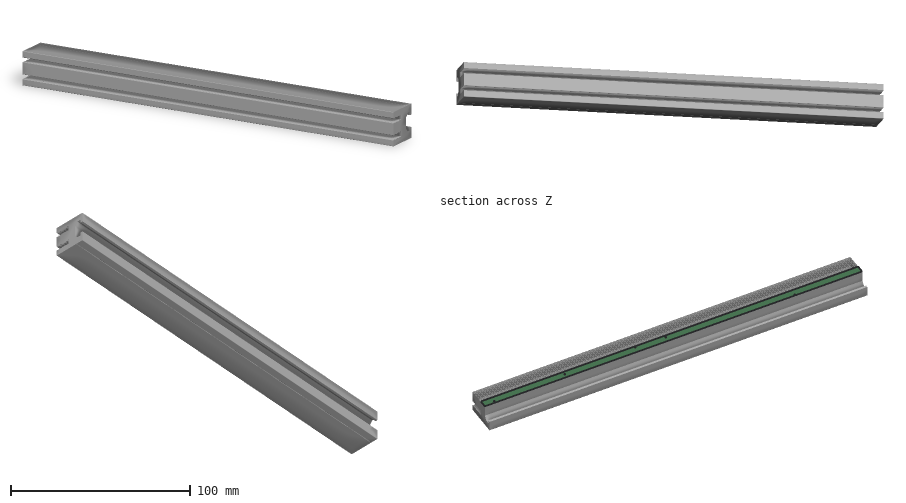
import cadquery as cq

length = 240.0
side = 20.0
half = side / 2
corner_radius = 0.26

lip_thickness = 1.5
slot_opening = 7.2
slot_width = 11.3
slot_depth = 5.8
slot_corner_depth = 1.8
slot_floor_width = 6.7

tongue_width = 7.2
groove_width = 3.0
groove_depth = 9.0
tooth_height = 0.34
tooth_pitch = 2 * tooth_height
tooth_count = 13

mark_width = 0.35
mark_depth = mark_width / 2
mark_distance = 4.8


def extrude_along_bar(outline):
    """Close a list of (y, z) points and extrude it over the bar's length."""
    return cq.Workplane("YZ").polyline(outline).close().extrude(length / 2, both=True)


def t_slot():
    lip_y = half - lip_thickness
    floor_y = half - slot_depth
    upper = [
        (half, slot_opening / 2),
        (lip_y, slot_opening / 2),
        (lip_y, slot_width / 2),
        (floor_y + slot_corner_depth, slot_width / 2),
        (floor_y, slot_floor_width / 2),
    ]
    lower = [(y, -z) for y, z in reversed(upper)]
    return extrude_along_bar(upper + lower)


def toothed_groove():
    """The groove above the tongue."""
    tongue_z = tongue_width / 2
    wall_z = tongue_z + groove_width
    floor_y = groove_depth - half

    flange_side = [(-half, wall_z)]
    for i in range(tooth_count):
        y = -half + i * tooth_pitch
        flange_side.append((y + tooth_pitch / 2, wall_z - tooth_height))
        flange_side.append((y + tooth_pitch, wall_z))
    flange_side.append((floor_y, wall_z))

    tongue_side = [(-half, tongue_z)]
    for i in range(tooth_count):
        y = -half + tooth_pitch / 2 + i * tooth_pitch
        tongue_side.append((y, tongue_z))
        tongue_side.append((y + tooth_pitch / 2, tongue_z - tooth_height))
    tongue_side.append((floor_y, tongue_z - tooth_height))
    return extrude_along_bar(flange_side + tongue_side[::-1])


def marking_line():
    mark_y = half - mark_distance
    return extrude_along_bar(
        [
            (mark_y - mark_width / 2, half),
            (mark_y, half - mark_depth),
            (mark_y + mark_width / 2, half),
        ]
    )


def edges_near(y, z):
    """Selector for the lengthwise edge through (y, z)."""
    reach = corner_radius / 4
    return cq.selectors.BoxSelector((-2.5, y - reach, z - reach), (2.5, y + reach, z + reach))


result = cq.Workplane("XY").box(length, side, side).cut(t_slot())
for upper_cut in (toothed_groove(), marking_line()):
    result = result.cut(upper_cut).cut(upper_cut.mirror("XY"))

rounded_corners = [(-half, half), (half, half), (-half, tongue_width / 2)]
for corner_y, corner_z in rounded_corners:
    for z in (corner_z, -corner_z):
        result = result.edges(edges_near(corner_y, z)).fillet(corner_radius)